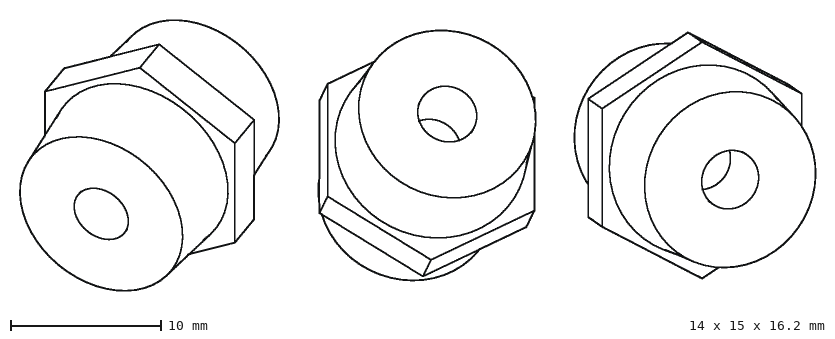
import cadquery as cq
import math

hex_across_corners = 16.17
length = 15.0
hex_thickness = 3.0
end_diameter = 12.0
base_diameter = 13.0
bore_diameter = 4.0

half_length = length / 2
half_hex = hex_thickness / 2
end_radius = end_diameter / 2
base_radius = base_diameter / 2
bore_depth = half_length - half_hex


def make_barrel():
    """Revolve the two tapered ends as one body about the Y axis."""
    return (
        cq.Workplane("YZ")
        .moveTo(-half_length, 0)
        .lineTo(-half_length, end_radius)
        .lineTo(-half_hex, base_radius)
        .lineTo(half_hex, base_radius)
        .lineTo(half_length, end_radius)
        .lineTo(half_length, 0)
        .close()
        .revolve(360, (0, 0, 0), (1, 0, 0))
    )


def make_flange():
    """Hexagonal flange with corners pointing along +Z and -Z."""
    radius = hex_across_corners / 2
    corners = []
    for i in range(6):
        angle = math.radians(90 + 60 * i)
        corners.append((radius * math.cos(angle), radius * math.sin(angle)))
    return cq.Workplane("XZ").polyline(corners).close().extrude(half_hex, both=True)


def drill_bore(body, end_face):
    """Flat-bottomed blind bore in the middle of one end face."""
    end_plane = body.faces(end_face).workplane(centerOption="CenterOfBoundBox")
    return end_plane.hole(bore_diameter, bore_depth)


result = make_barrel().union(make_flange())
for end_face in ("<Y", ">Y"):
    result = drill_bore(result, end_face)